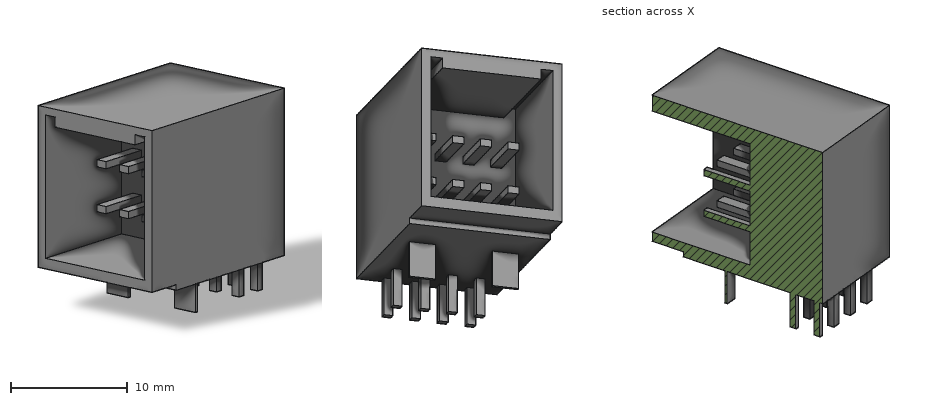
import cadquery as cq

width = 12.7
depth = 17.8
height = 14.9

relief_length = 3.25
relief_height = 0.5

cavity_width = 11.0
cavity_depth = 10.2
cavity_height = 12.75
top_wall = 0.7
rib_width = 8.9
rib_height = 0.9

contact_pitch = 2.5
contact_columns = 4
contact_rows_z = (4.98, 8.98)
contact_width = 1.0
contact_height = 0.64
contact_tip_setback = 5.4

tail_width = 0.8
tail_thickness = 0.64
tail_length = 3.35
tail_row_pitch = 2.5
rear_tail_inset = 0.63

retainer_width = 2.35
retainer_thickness = 0.3
retainer_length = 3.15
retainer_inset = 10.1

ceiling_z = height - top_wall
last_column_x = contact_pitch * (contact_columns - 1) / 2
column_positions = [i * contact_pitch - last_column_x for i in range(contact_columns)]
rear_tail_y = depth - rear_tail_inset
tail_rows_y = (rear_tail_y - tail_row_pitch, rear_tail_y)


def block(x_center, x_size, y_start, y_end, z_bottom, z_top):
    """Box centred on x_center, spanning the given y and z ranges."""
    box = cq.Workplane("XY").box(x_size, y_end - y_start, z_top - z_bottom, centered=(True, False, False))
    return box.translate((x_center, y_start, z_bottom))


def make_housing():
    """Shell with the front cavity, ceiling rib and front relief."""
    shell = block(0, width, 0, depth, 0, height)
    cavity = block(0, cavity_width, 0, cavity_depth, ceiling_z - cavity_height, ceiling_z)
    rib = block(0, rib_width, 0, cavity_depth, ceiling_z - rib_height, ceiling_z)
    relief = block(0, width, 0, relief_length, 0, relief_height)
    return shell.cut(cavity.cut(rib)).cut(relief)


def make_contact(x, z):
    """Straight contact blade standing on the cavity's rear wall."""
    half = contact_height / 2
    return block(x, contact_width, contact_tip_setback, cavity_depth, z - half, z + half)


def make_leg(x, y, leg_width, thickness, length):
    """Rectangular leg hanging from the seating face."""
    half = thickness / 2
    return block(x, leg_width, y - half, y + half, -length, 0)


result = make_housing()

for column_x in column_positions:
    for row_z in contact_rows_z:
        result = result.union(make_contact(column_x, row_z))
    for row_y in tail_rows_y:
        result = result.union(make_leg(column_x, row_y, tail_width, tail_thickness, tail_length))

retainer_y = depth - retainer_inset
for retainer_x in (-last_column_x, last_column_x):
    result = result.union(
        make_leg(retainer_x, retainer_y, retainer_width, retainer_thickness, retainer_length)
    )